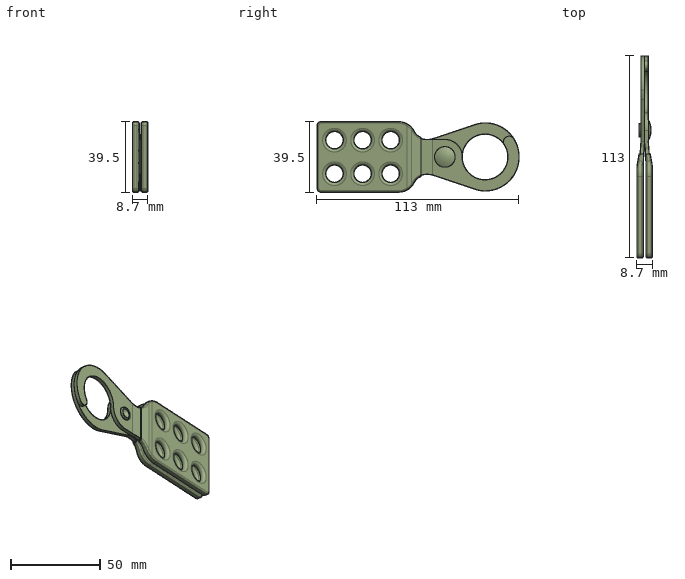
import cadquery as cq
import math


y_front, y_back = -56.5, 56.5
handle_height = 39.5
half_height = handle_height / 2
total_thickness = 8.7

plate_thickness = 2.1
ring_radius = 19.1
ring_hole_diameter = 25.4
ring_hole_radius = ring_hole_diameter / 2
ring_y = y_back - ring_radius
flank_radius = 16.4
tip_angle = 32.0
pivot_y = 14.9
pivot_lobe_radius = ring_y - pivot_y - ring_hole_radius

neck_y = 5.1
neck_radius = 11.5
neck_half_height = pivot_lobe_radius
neck_center_z = neck_half_height + neck_radius
bend_y = 8.0
plate_offset = 0.5

handle_top_y = 1.6
handle_thickness = 3.6
handle_outer = total_thickness / 2
handle_inner = handle_outer - handle_thickness
top_outer = 3.2
bend_start_y, bend_end_y = -3.8, -6.2
coat = 0.7
shoulder_y = -11.1
shoulder_end_y = -2.1
shoulder_radius = 9.9
corner_radius = 2.3
edge_radius = 0.9

hole_diameter = 9.6
hole_columns = (-15.4, -31.1, -46.8)
hole_rows = (-9.4, 9.4)

shank_diameter = 7.6
lip_diameter = 6.3
recess_diameter = 5.4
tail_length = 1.1
lip_height = 0.6
lip_inner_depth = 0.3
recess_depth = 2.0
head_diameter = 11.5
head_height = 1.5


def on_circle(center, radius, degrees):
    """Point (y, z) on a circle at an angle measured from +Y towards +Z."""
    angle = math.radians(degrees)
    return (center[0] + radius * math.cos(angle), center[1] + radius * math.sin(angle))


def mirror_z(point):
    return (point[0], -point[1])


def neck_edge(y):
    """Point on the upper concave neck arc."""
    return (y, neck_center_z - math.sqrt(neck_radius ** 2 - (y - neck_y) ** 2))


def plate_outline():
    """Hook ring, pivot lobe and neck, drawn in the YZ plane and extruded towards -X."""
    ring = (ring_y, 0)
    neck_center = (neck_y, neck_center_z)

    flank_center = (ring_y, ring_radius - flank_radius)
    dy, dz = neck_center[0] - flank_center[0], neck_center[1] - flank_center[1]
    spread = math.acos((flank_radius + neck_radius) / math.hypot(dy, dz))
    flank_angle = math.degrees(math.atan2(dz, dy) - spread)
    flank_ring = on_circle(flank_center, flank_radius, flank_angle)
    flank_mid = on_circle(flank_center, flank_radius, (90 + flank_angle) / 2)
    flank_neck = on_circle(neck_center, neck_radius, flank_angle + 180)

    band = ring_radius - ring_hole_radius
    tip_center = on_circle(ring, ring_hole_radius + band / 2, -tip_angle)
    tip_outer = on_circle(ring, ring_radius, -tip_angle)
    tip_inner = on_circle(ring, ring_hole_radius, -tip_angle)
    tip_end = on_circle(tip_center, band / 2, -tip_angle - 90)

    neck_top = neck_edge(handle_top_y)
    neck_low_mid = mirror_z(neck_edge((handle_top_y + neck_y) / 2))
    pivot = (pivot_y, 0)
    return (
        cq.Workplane("YZ")
        .moveTo(*neck_top)
        .threePointArc((neck_y, neck_half_height), flank_neck)
        .lineTo(*flank_ring)
        .threePointArc(flank_mid, (ring_y, ring_radius))
        .threePointArc(on_circle(ring, ring_radius, (90 - tip_angle) / 2), tip_outer)
        .threePointArc(tip_end, tip_inner)
        .threePointArc(on_circle(ring, ring_hole_radius, 90), on_circle(ring, ring_hole_radius, 180))
        .threePointArc(on_circle(pivot, pivot_lobe_radius, -45), (pivot_y, -pivot_lobe_radius))
        .lineTo(neck_y, -neck_half_height)
        .threePointArc(neck_low_mid, mirror_z(neck_top))
        .close()
        .extrude(-total_thickness)
    )


def make_plate():
    bent_sheet = (
        cq.Workplane("XY")
        .polyline([
            (0, y_back),
            (0, bend_y),
            (-plate_offset, handle_top_y),
            (-plate_offset - plate_thickness, handle_top_y),
            (-plate_thickness, bend_y),
            (-plate_thickness, y_back),
        ])
        .close()
        .extrude(half_height, both=True)
    )
    return plate_outline().intersect(bent_sheet)


def handle_outline():
    """Rectangle with S-shaped shoulders that run into the neck."""
    shoulder_reach = shoulder_end_y - shoulder_y
    shoulder_drop = shoulder_radius - math.sqrt(shoulder_radius ** 2 - shoulder_reach ** 2)
    shoulder_end = (shoulder_end_y, half_height - shoulder_drop)
    neck_end = (handle_top_y, neck_edge(handle_top_y)[1] + coat)
    return (
        cq.Workplane("YZ")
        .moveTo(y_front, 0)
        .lineTo(y_front, half_height)
        .lineTo(shoulder_y, half_height)
        .tangentArcPoint(shoulder_end, relative=False)
        .tangentArcPoint(neck_end, relative=False)
        .lineTo(handle_top_y, 0)
        .mirrorX()
        .extrude(-total_thickness)
        .edges("|X and <Y")
        .fillet(corner_radius)
    )


def make_handle():
    bend_corner_y = (bend_start_y + bend_end_y) / 2
    bend_share = (handle_top_y - bend_start_y) / (handle_top_y - bend_corner_y)
    bend_start_x = top_outer + bend_share * (handle_outer - top_outer)
    thick_sheet = (
        cq.Workplane("XY")
        .moveTo(-handle_inner, y_front)
        .lineTo(-handle_inner, bend_corner_y)
        .lineTo(-plate_offset, handle_top_y)
        .lineTo(-top_outer, handle_top_y)
        .lineTo(-bend_start_x, bend_start_y)
        .tangentArcPoint((-handle_outer, bend_end_y), relative=False)
        .lineTo(-handle_outer, y_front)
        .close()
        .extrude(half_height, both=True)
    )
    handle = handle_outline().intersect(thick_sheet)
    front_edges = handle.faces("<Y").edges("|Z")
    return front_edges.fillet(edge_radius)


def hole_cutter(y, z):
    """Hole whose wall is a full half-round across the handle thickness."""
    throat = hole_diameter / 2
    mouth = throat + handle_thickness / 2
    return (
        cq.Workplane("XY")
        .moveTo(-handle_inner, 0)
        .lineTo(-handle_inner, mouth)
        .threePointArc((-(handle_inner + handle_outer) / 2, throat), (-handle_outer, mouth))
        .lineTo(-handle_outer, 0)
        .close()
        .revolve(360, (0, 0, 0), (1, 0, 0))
        .translate((0, y, z))
    )


def make_jaw():
    jaw = make_plate().union(make_handle())
    for y in hole_columns:
        for z in hole_rows:
            jaw = jaw.cut(hole_cutter(y, z))
    rivet_hole = (
        cq.Workplane("YZ")
        .center(pivot_y, 0)
        .circle(shank_diameter / 2)
        .extrude(-plate_thickness)
    )
    return jaw.cut(rivet_hole).solids()


def make_rivet():
    """Domed head on +X, straight shank, and a rolled lip around a conical recess on -X."""
    tail_x = -plate_thickness - tail_length
    shank, lip, recess = shank_diameter / 2, lip_diameter / 2, recess_diameter / 2
    diagonal = math.sqrt(0.5)
    outer_bulge = (
        tail_x + lip_height * (1 - diagonal),
        lip + (shank - lip) * diagonal,
    )
    inner_bulge = (
        tail_x + lip_inner_depth * (1 - diagonal),
        lip - (lip - recess) * diagonal,
    )
    head = head_diameter / 2
    dome_radius = (head ** 2 + head_height ** 2) / (2 * head_height)
    dome_center_x = plate_thickness + head_height - dome_radius
    dome_mid = (dome_center_x + math.sqrt(dome_radius ** 2 - (head / 2) ** 2), head / 2)
    return (
        cq.Workplane("XY")
        .moveTo(tail_x + recess_depth, 0)
        .lineTo(tail_x + lip_inner_depth, recess)
        .threePointArc(inner_bulge, (tail_x, lip))
        .threePointArc(outer_bulge, (tail_x + lip_height, shank))
        .lineTo(plate_thickness, shank)
        .lineTo(plate_thickness, head)
        .threePointArc(dome_mid, (plate_thickness + head_height, 0))
        .close()
        .revolve(360, (0, 0, 0), (1, 0, 0))
        .translate((0, pivot_y, 0))
    )


left_jaw = make_jaw()
right_jaw = left_jaw.rotate((0, 0, 0), (0, 1, 0), 180)
rivet = make_rivet()

result = cq.Compound.makeCompound([left_jaw.val(), right_jaw.val(), rivet.val()])